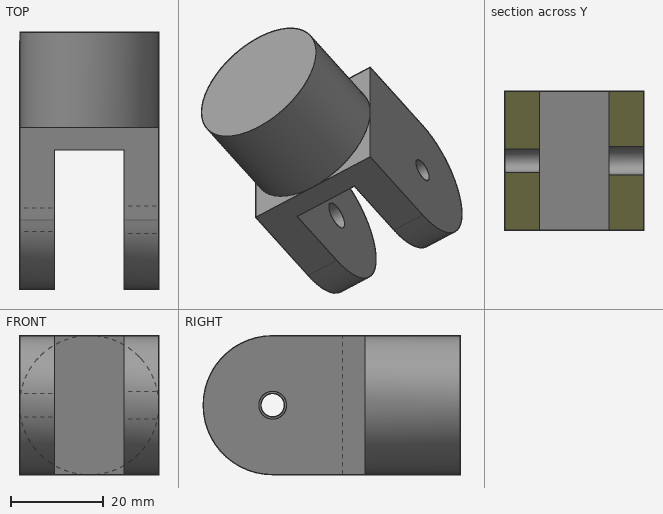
import cadquery as cq

length = 55.5
width = 30.0
shank_length = 20.6

slot_width = 15.0
slot_depth = width
near_hole_diameter = 5.0
far_hole_diameter = 6.0

lug_radius = width / 2
lug_thickness = (width - slot_width) / 2
front_y = -lug_radius
back_y = front_y + length
shoulder_y = back_y - shank_length


def make_fork():
    """Block with a rounded front end, cut through vertically by the slot."""
    body = (
        cq.Workplane("YZ", origin=(-width / 2, 0, 0))
        .moveTo(shoulder_y, -lug_radius)
        .lineTo(0, -lug_radius)
        .threePointArc((front_y, 0), (0, lug_radius))
        .lineTo(shoulder_y, lug_radius)
        .close()
        .extrude(width)
    )
    slot = cq.Workplane("XY").box(slot_width, slot_depth, width, centered=(True, False, True))
    return body.cut(slot.translate((0, front_y, 0)))


def make_shank():
    """Round shank from the fork shoulder to the back end."""
    return cq.Workplane("XZ", origin=(0, back_y, 0)).circle(width / 2).extrude(shank_length)


def make_pin_hole(start_x, diameter):
    """Cutter through one lug, starting at its -X face."""
    return cq.Workplane("YZ", origin=(start_x, 0, 0)).circle(diameter / 2).extrude(lug_thickness)


result = (
    make_fork()
    .union(make_shank())
    .cut(make_pin_hole(-width / 2, near_hole_diameter))
    .cut(make_pin_hole(slot_width / 2, far_hole_diameter))
)